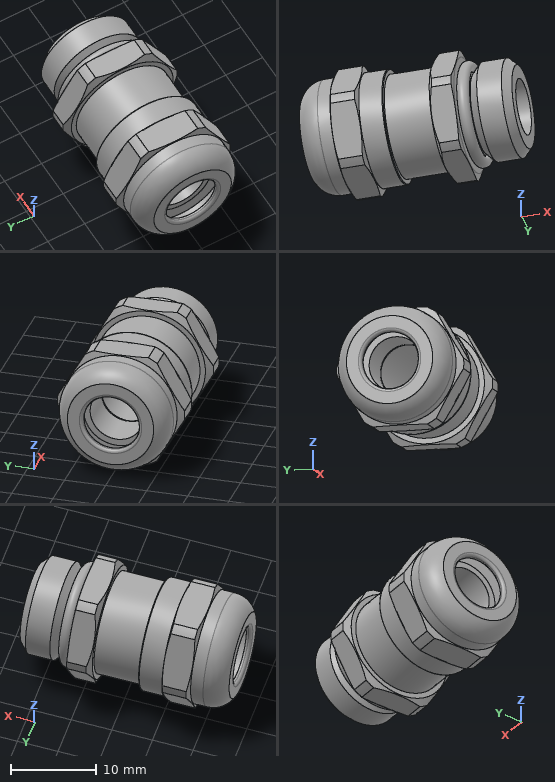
import cadquery as cq
import math

LENGTH = 25.8

HEX_FLATS = 14.0
HEX_CORNER_DIA = 15.5
HEX_FACE_DIA = 13.8

NUT_DIA = HEX_FACE_DIA
NUT_FACE_DIA = 10.5
DOME_RADIUS = 3.0
NUT_LENGTH = 10.63
NUT_END_CHAMFER = 0.1
NUT_HEX_START = 4.2
NUT_HEX_WIDTH = 3.5
NUT_HEX_CHAMFER = 0.28
LIP_BORE_DIA = 6.8
LIP_FILLET = 0.39
LIP_THICKNESS = 0.67

NECK_DIA = 11.4
NECK_START = 2.68
SHANK_DIA = 12.5
BODY_BORE_DIA = 6.7
BODY_HEX_START = 16.28
BODY_HEX_WIDTH = 3.02
BODY_HEX_FRONT_CHAMFER = 0.5
BODY_HEX_BACK_CHAMFER = 0.13
GROOVE_DIA = 9.8
THREAD_DIA = 12.0
THREAD_START = 21.8
THREAD_END_DIA = 10.0

SEAL_DIA = 8.1
SEAL_BORE_DIA = 6.5
SEAL_LENGTH = 5.0

ORING_SECTION = 1.5

BODY_HEX_END = BODY_HEX_START + BODY_HEX_WIDTH


def turned(profile):
    """Revolve a closed (x, radius) profile about the X axis."""
    return profile.close().revolve(360, (0, 0, 0), (1, 0, 0))


def cylinder(diameter, start, end):
    """Cylinder on the X axis between two positions."""
    return cq.Workplane("YZ", origin=(start, 0, 0)).circle(diameter / 2).extrude(end - start)


def hexagon(start, width, front_chamfer, back_chamfer):
    """Hexagon with flats up and down, its corners turned down to a cylinder with conical ends."""
    end = start + width
    face_radius = HEX_FACE_DIA / 2
    corner_radius = HEX_CORNER_DIA / 2
    across_points = HEX_FLATS / math.cos(math.pi / 6)
    prism = cq.Workplane("YZ", origin=(start, 0, 0)).polygon(6, across_points).extrude(width)
    envelope = turned(
        cq.Workplane("XY")
        .moveTo(start, 0)
        .lineTo(start, face_radius)
        .lineTo(start + front_chamfer, corner_radius)
        .lineTo(end - back_chamfer, corner_radius)
        .lineTo(end, face_radius)
        .lineTo(end, 0)
    )
    return prism.intersect(envelope)


def make_nut():
    """Domed clamping nut with a hexagon, a plain skirt and an inward lip at the cable entry."""
    outer_radius = NUT_DIA / 2
    face_radius = NUT_FACE_DIA / 2
    arc_centre_radius = outer_radius - DOME_RADIUS
    face_rise = face_radius - arc_centre_radius
    dome_end = math.sqrt(DOME_RADIUS**2 - face_rise**2)
    mid_angle = (math.pi / 2 + math.atan2(face_rise, -dome_end)) / 2
    dome_middle = (
        dome_end + DOME_RADIUS * math.cos(mid_angle),
        arc_centre_radius + DOME_RADIUS * math.sin(mid_angle),
    )
    shell = turned(
        cq.Workplane("XY")
        .moveTo(0, 0)
        .lineTo(0, face_radius)
        .threePointArc(dome_middle, (dome_end, outer_radius))
        .lineTo(NUT_LENGTH - NUT_END_CHAMFER, outer_radius)
        .lineTo(NUT_LENGTH, outer_radius - NUT_END_CHAMFER)
        .lineTo(NUT_LENGTH, 0)
    )
    solid = shell.union(hexagon(NUT_HEX_START, NUT_HEX_WIDTH, NUT_HEX_CHAMFER, NUT_HEX_CHAMFER))
    drilled = solid.cut(cylinder(LIP_BORE_DIA, 0, NUT_LENGTH))
    entry_edge = cq.selectors.RadiusNthSelector(0)
    rounded = drilled.faces("<X").edges(entry_edge).fillet(LIP_FILLET)
    return rounded.cut(cylinder(NECK_DIA, LIP_THICKNESS, NUT_LENGTH))


def make_body():
    """Through-bored body with the seal socket, hexagon, O-ring groove and chamfered thread."""
    groove_radius = GROOVE_DIA / 2
    thread_radius = THREAD_DIA / 2
    thread_end_radius = THREAD_END_DIA / 2
    groove_end = THREAD_START - (thread_radius - groove_radius)
    chamfer_start = LENGTH - (thread_radius - thread_end_radius)
    threaded_end = turned(
        cq.Workplane("XY")
        .moveTo(BODY_HEX_START, 0)
        .lineTo(BODY_HEX_START, groove_radius)
        .lineTo(groove_end, groove_radius)
        .lineTo(THREAD_START, thread_radius)
        .lineTo(chamfer_start, thread_radius)
        .lineTo(LENGTH, thread_end_radius)
        .lineTo(LENGTH, 0)
    )
    return (
        threaded_end
        .union(hexagon(BODY_HEX_START, BODY_HEX_WIDTH, BODY_HEX_FRONT_CHAMFER, BODY_HEX_BACK_CHAMFER))
        .union(cylinder(SHANK_DIA, NUT_LENGTH, BODY_HEX_END))
        .union(cylinder(NECK_DIA, NECK_START, BODY_HEX_END))
        .cut(cylinder(BODY_BORE_DIA, NECK_START, LENGTH))
        .cut(cylinder(SEAL_DIA, NECK_START, NECK_START + SEAL_LENGTH))
    )


def make_seal():
    """Plain sealing sleeve, flush with the front of the body neck."""
    seal_end = NECK_START + SEAL_LENGTH
    return cylinder(SEAL_DIA, NECK_START, seal_end).cut(cylinder(SEAL_BORE_DIA, NECK_START, seal_end))


def make_oring():
    """Round-section ring resting on the groove floor and against the back of the hexagon."""
    section_radius = ORING_SECTION / 2
    centre = (BODY_HEX_END + section_radius, GROOVE_DIA / 2 + section_radius)
    return cq.Workplane("XY").center(*centre).circle(section_radius).revolve(
        360, (0, -centre[1], 0), (1, -centre[1], 0)
    )


nut = make_nut()
body = make_body()
seal = make_seal()
oring = make_oring()

result = cq.Compound.makeCompound([nut.val(), body.val(), seal.val(), oring.val()])